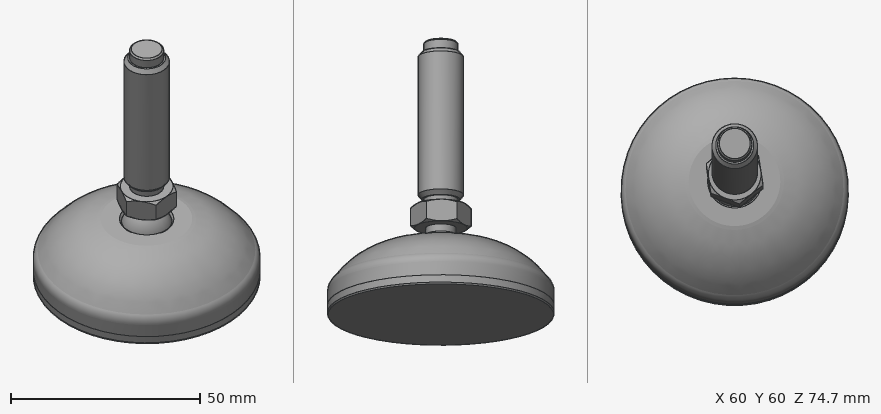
import cadquery as cq
import math

total_height = 74.7
foot_radius = 29.99

pad_height = 2.5
pad_edge_chamfer = 0.45
pad_edge_inset = 0.2

housing_top = 19.05
wall_top = 6.1
shoulder_radius = 28.75
shoulder_height = 8.75
dome_mid_radius = 22.25
dome_mid_height = 15.0
dome_top_radius = 13.1
dome_top_height = 18.8
flat_radius = 12.1
socket_mouth_radius = 13.3 / 2
socket_rim_radius = 7.2

ball_radius = 7.0
neck_radius = 8.1 / 2
neck_bottom = 21.8
hex_bottom = 23.75
hex_height = 6.0
hex_across_flats = 14.0
hex_face_radius = 6.95
hex_chamfer_angle = 30.0
relief_radius = 9.05 / 2
thread_radius = 12.0 / 2
thread_end_radius = 5.0
thread_bottom = 31.6
thread_top = 71.85
thread_chamfer_height = 1.2
nose_chamfer = 0.45

ball_center_height = neck_bottom - math.sqrt(ball_radius**2 - neck_radius**2)
ball_bottom = ball_center_height - ball_radius
socket_mouth_height = ball_center_height + math.sqrt(ball_radius**2 - socket_mouth_radius**2)
hex_top = hex_bottom + hex_height


def revolve_about_z(profile):
    """Turn a closed (radius, height) profile once around the Z axis."""
    return profile.close().revolve(360, (0, 0, 0), (0, 1, 0))


def make_pad():
    """Flat disc with a small bevel around its lower edge."""
    return revolve_about_z(
        cq.Workplane("XZ")
        .lineTo(foot_radius - pad_edge_inset, 0)
        .lineTo(foot_radius, pad_edge_chamfer)
        .lineTo(foot_radius, pad_height)
        .lineTo(0, pad_height)
    )


def make_housing():
    """Dome resting on the pad, with a spherical socket that opens at the top."""
    return revolve_about_z(
        cq.Workplane("XZ")
        .moveTo(0, pad_height)
        .lineTo(foot_radius, pad_height)
        .lineTo(foot_radius, wall_top)
        .tangentArcPoint((shoulder_radius, shoulder_height), relative=False)
        .threePointArc((dome_mid_radius, dome_mid_height), (dome_top_radius, dome_top_height))
        .tangentArcPoint((flat_radius, housing_top), relative=False)
        .lineTo(socket_rim_radius, housing_top)
        .lineTo(socket_mouth_radius, socket_mouth_height)
        .threePointArc((ball_radius, ball_center_height), (0, ball_bottom))
    )


def make_hexagon():
    """Hexagon with corners along Y, its corners chamfered by cones at both ends."""
    corner_radius = hex_across_flats / math.sqrt(3)
    corner_drop = (corner_radius - hex_face_radius) * math.tan(math.radians(hex_chamfer_angle))
    prism = (
        cq.Workplane("XY", origin=(0, 0, hex_bottom))
        .transformed(rotate=(0, 0, 90))
        .polygon(6, 2 * corner_radius)
        .extrude(hex_height)
    )
    chamfer_envelope = revolve_about_z(
        cq.Workplane("XZ")
        .moveTo(0, hex_bottom)
        .lineTo(hex_face_radius, hex_bottom)
        .lineTo(corner_radius, hex_bottom + corner_drop)
        .lineTo(corner_radius, hex_top - corner_drop)
        .lineTo(hex_face_radius, hex_top)
        .lineTo(0, hex_top)
    )
    return prism.intersect(chamfer_envelope)


def make_stud():
    """Ball, neck, hexagon and threaded shank in one piece."""
    shank = revolve_about_z(
        cq.Workplane("XZ")
        .moveTo(0, ball_bottom)
        .threePointArc((ball_radius, ball_center_height), (neck_radius, neck_bottom))
        .lineTo(neck_radius, hex_bottom)
        .lineTo(relief_radius, hex_bottom)
        .lineTo(relief_radius, thread_bottom)
        .lineTo(thread_end_radius, thread_bottom)
        .lineTo(thread_radius, thread_bottom + thread_chamfer_height)
        .lineTo(thread_radius, thread_top - thread_chamfer_height)
        .lineTo(thread_end_radius, thread_top)
        .lineTo(relief_radius, thread_top)
        .lineTo(relief_radius, total_height - nose_chamfer)
        .lineTo(relief_radius - nose_chamfer, total_height)
        .lineTo(0, total_height)
    )
    return shank.union(make_hexagon())


pad = make_pad()
housing = make_housing()
stud = make_stud()

result = cq.Compound.makeCompound([pad.val(), housing.val(), stud.val()])